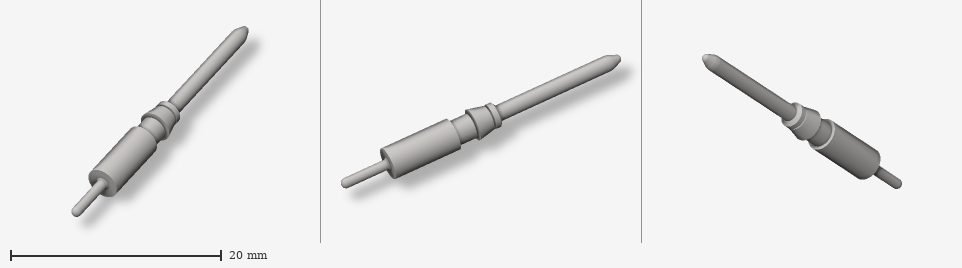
import cadquery as cq

length = 30.0
body_start = 5.0
body_end = 12.0
cone_start = 14.13
cone_end = 15.85
groove_width = 0.18
collar_end = 16.8
collar_chamfer_length = 0.25

tail_radius = 0.5
tail_base_radius = 0.7
tail_base_length = 0.18
body_diameter = 3.2
body_radius = body_diameter / 2
collar_radius = 1.25
cone_end_radius = 1.23
collar_nose_radius = 0.9
groove_radius = 0.9
contact_diameter = 1.6
contact_radius = contact_diameter / 2

taper_length = 1.23
tip_radius = 0.3
tip_rounding = 0.35
shoulder_rounding = 1.32


def ring(start, end, start_radius, end_radius):
    """Solid cylinder or cone around the Y axis between two stations."""
    half_profile = [(0, start), (start_radius, start), (end_radius, end), (0, end)]
    return cq.Workplane("XY").polyline(half_profile).close().revolve(360, (0, 0), (0, 1))


def solder_tail():
    """Slim tail with a hemispherical end and a small cone at its base."""
    shaft = ring(tail_radius, body_start, tail_radius, tail_radius)
    dome = cq.Workplane("XY").sphere(tail_radius).translate((0, tail_radius, 0))
    base = ring(body_start - tail_base_length, body_start, tail_radius, tail_base_radius)
    return shaft.union(dome).union(base)


def retention_section():
    """Body, neck, barb cone and collar, with a narrow groove on each side of the cone."""
    neck_end = cone_start - groove_width
    collar_start = cone_end + groove_width
    chamfer_start = collar_end - collar_chamfer_length
    section = ring(body_start, body_end, body_radius, body_radius)
    section = section.union(ring(body_end, neck_end, collar_radius, collar_radius))
    section = section.union(ring(neck_end, collar_start, groove_radius, groove_radius))
    section = section.union(ring(cone_start, cone_end, body_radius, cone_end_radius))
    section = section.union(ring(collar_start, chamfer_start, collar_radius, collar_radius))
    return section.union(ring(chamfer_start, collar_end, collar_radius, collar_nose_radius))


def contact_pin():
    """Long contact pin whose tapered tip is rounded at its end and shoulder."""
    taper_start = length - taper_length
    shaft = ring(collar_end, taper_start, contact_radius, contact_radius)
    shaft = shaft.union(ring(taper_start, length, contact_radius, tip_radius))
    shaft = shaft.edges(cq.selectors.NearestToPointSelector((0, taper_start, 0))).fillet(shoulder_rounding)
    return shaft.faces(">Y").edges().fillet(tip_rounding)


pin = solder_tail().union(retention_section()).union(contact_pin())
result = pin.translate((0, -length / 2, 0))